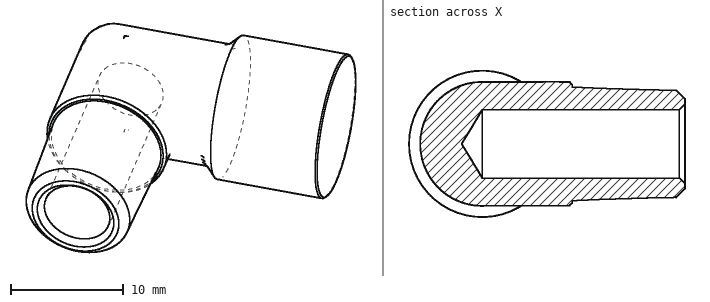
import cadquery as cq
import math

side = 24.5

body_radius = 5.51
corner_fillet = 2.5
crotch_fillet = 0.5
blend_half_height = 5.46

socket_diameter = 13.0
socket_radius = socket_diameter / 2
socket_end = side - body_radius
socket_start = 9.2
flare_angle = 45.0
neck_end = socket_start - (socket_radius - body_radius)
neck_fillet = 0.5
rim_chamfer = 0.15

spigot_end = side - socket_radius
collar_end = 7.99
collar_chamfer = 0.25
taper = 1 / 32
tip_face_radius = 4.0
tip_chamfer = 0.78
tip_radius = tip_face_radius + tip_chamfer
spigot_root_radius = tip_radius + taper * (spigot_end - tip_chamfer - collar_end)

bore_radius = 3.01
bore_mouth_radius = 3.53
drill_half_angle = 59.0
drill_tip = bore_radius / math.tan(math.radians(drill_half_angle))


def along_x(start, end, radius):
    return cq.Workplane("YZ").workplane(offset=start).circle(radius).extrude(end - start)


def along_y(start, end, radius):
    return cq.Workplane("XZ", origin=(0, start, 0)).circle(radius).extrude(start - end)


def turned_on_y(points):
    """Revolve an (X, Y) outline about the Y axis."""
    return cq.Workplane("XY").polyline(points).close().revolve(360, (0, 0, 0), (0, 1, 0))


def make_elbow():
    """Two equal cylinders mitred at 45 degrees, rounded at the corner and the crotch."""
    reach = 2 * body_radius
    wedge = (
        cq.Workplane("XY")
        .polyline([(-reach, reach), (reach, reach), (reach, -reach)])
        .close()
        .extrude(reach, both=True)
    )
    x_leg = along_x(-reach, neck_end, body_radius).intersect(wedge)
    y_leg = along_y(reach, -collar_end, body_radius).cut(wedge)
    y_leg = y_leg.faces("<Y").chamfer(collar_chamfer)
    elbow = x_leg.union(y_leg)
    blend_zone = cq.Workplane("XY").box(4 * reach, 4 * reach, 2 * blend_half_height)
    middle = elbow.intersect(blend_zone)
    caps = elbow.cut(blend_zone)
    crotch_side = cq.selectors.BoxSelector((0, -reach, -reach), (reach, 0, reach))
    corner_side = cq.selectors.BoxSelector((-reach, 0, -reach), (0, reach, reach))
    middle = middle.edges("%ELLIPSE").edges(corner_side).fillet(corner_fillet)
    middle = middle.edges("%ELLIPSE").edges(crotch_side).fillet(crotch_fillet)
    return middle.union(caps)


def make_socket():
    """Larger cylinder with a 45 degree flare, a rounded neck and a chamfered rim."""
    tangent = neck_fillet * math.tan(math.radians(flare_angle / 2))
    diagonal = tangent * math.cos(math.radians(flare_angle))
    outline = (
        cq.Workplane("XY")
        .moveTo(neck_end - tangent, 0)
        .lineTo(neck_end - tangent, body_radius)
        .radiusArc((neck_end + diagonal, body_radius + diagonal), -neck_fillet)
        .lineTo(socket_start, socket_radius)
        .lineTo(socket_end - rim_chamfer, socket_radius)
        .lineTo(socket_end, socket_radius - rim_chamfer)
        .lineTo(socket_end, 0)
        .close()
    )
    return outline.revolve(360, (0, 0, 0), (1, 0, 0))


def make_spigot():
    """Tapered cone with a 45 degree chamfer at its tip."""
    return turned_on_y(
        [
            (0, -collar_end),
            (spigot_root_radius, -collar_end),
            (tip_radius, -spigot_end + tip_chamfer),
            (tip_face_radius, -spigot_end),
            (0, -spigot_end),
        ]
    )


def make_bore():
    """Blind drilled hole with a 45 degree mouth chamfer and a conical bottom."""
    mouth_depth = bore_mouth_radius - bore_radius
    return turned_on_y(
        [
            (0, -spigot_end),
            (bore_mouth_radius, -spigot_end),
            (bore_radius, -spigot_end + mouth_depth),
            (bore_radius, 0),
            (0, drill_tip),
        ]
    )


result = make_elbow().union(make_socket()).union(make_spigot()).cut(make_bore())